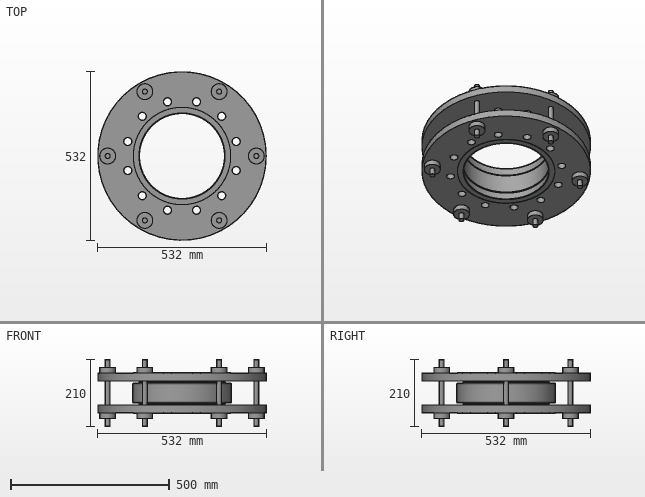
import cadquery as cq
import math

flange_radius = 266.0
flange_thickness = 25.5
flange_gap = 75.0
raised_face_radius = 154.0
raised_face_height = 1.5

bolt_hole_count = 12
bolt_hole_radius = 12.0
bolt_circle_radius = 177.0

rod_count = 6
rod_radius = 8.0
rod_length = 210.0
rod_circle_radius = 234.5
nut_radius = 25.0
nut_height = 18.0

sleeve_inner_radius = 134.0
sleeve_wall = 1.9
arch_radius = 156.0
arch_width = 62.0
arch_fillet = 3.0
arch_root_fillet = 3.0

sleeve_outer_radius = sleeve_inner_radius + sleeve_wall
flange_inner_z = flange_gap / 2
flange_outer_z = flange_inner_z + flange_thickness
sleeve_length = 2 * flange_outer_z


def cylinders_on_circle(radius, height, bottom, circle_radius, start_angle, count):
    """Equal upright cylinders spaced evenly on a circle around the Z axis."""
    return (
        cq.Workplane("XY", origin=(0, 0, bottom))
        .polarArray(circle_radius, start_angle, 360, count)
        .circle(radius)
        .extrude(height)
    )


def make_upper_flange():
    """Flange above the arch, with its raised face, sleeve bore and bolt holes."""
    flange = (
        cq.Workplane("XY", origin=(0, 0, flange_inner_z))
        .circle(flange_radius)
        .extrude(flange_thickness)
        .faces(">Z")
        .workplane()
        .circle(raised_face_radius)
        .extrude(raised_face_height)
        .faces(">Z")
        .workplane()
        .circle(sleeve_outer_radius)
        .cutThruAll()
    )
    half_pitch = 180 / bolt_hole_count
    bolt_holes = cylinders_on_circle(
        bolt_hole_radius, flange_thickness, flange_inner_z, bolt_circle_radius, half_pitch, bolt_hole_count
    )
    return flange.cut(bolt_holes)


def make_frame():
    """Both flanges joined into one body by the tie rods and nuts."""
    upper_nuts = cylinders_on_circle(nut_radius, nut_height, flange_outer_z, rod_circle_radius, 0, rod_count)
    upper_half = make_upper_flange().union(upper_nuts)
    rods = cylinders_on_circle(rod_radius, rod_length, -rod_length / 2, rod_circle_radius, 0, rod_count)
    return upper_half.union(upper_half.mirror("XY")).union(rods)


def make_sleeve():
    """Thin tube that ends flush with the outer faces of the flanges, just below the raised faces."""
    return (
        cq.Workplane("XY", origin=(0, 0, -flange_outer_z))
        .circle(sleeve_outer_radius)
        .circle(sleeve_inner_radius)
        .extrude(sleeve_length)
    )


def make_arch():
    """Ring around the sleeve with rounded rims and a hollow fillet running down to the sleeve."""
    half_width = arch_width / 2
    root_z = half_width + arch_root_fillet
    root_side_radius = sleeve_outer_radius + arch_root_fillet
    rim_z = half_width - arch_fillet
    rim_side_radius = arch_radius - arch_fillet
    arc_inset = 1 - math.sqrt(0.5)
    root_inset = arch_root_fillet * arc_inset
    rim_inset = arch_fillet * arc_inset
    return (
        cq.Workplane("XZ")
        .moveTo(sleeve_outer_radius, -root_z)
        .lineTo(sleeve_outer_radius, root_z)
        .threePointArc((sleeve_outer_radius + root_inset, half_width + root_inset), (root_side_radius, half_width))
        .lineTo(rim_side_radius, half_width)
        .threePointArc((arch_radius - rim_inset, half_width - rim_inset), (arch_radius, rim_z))
        .lineTo(arch_radius, -rim_z)
        .threePointArc((arch_radius - rim_inset, rim_inset - half_width), (rim_side_radius, -half_width))
        .lineTo(root_side_radius, -half_width)
        .threePointArc((sleeve_outer_radius + root_inset, -half_width - root_inset), (sleeve_outer_radius, -root_z))
        .close()
        .revolve(360, (0, 0, 0), (0, 1, 0))
    )


frame = make_frame()
sleeve = make_sleeve()
arch = make_arch()

result = cq.Compound.makeCompound([frame.solids().val(), sleeve.val(), arch.val()])